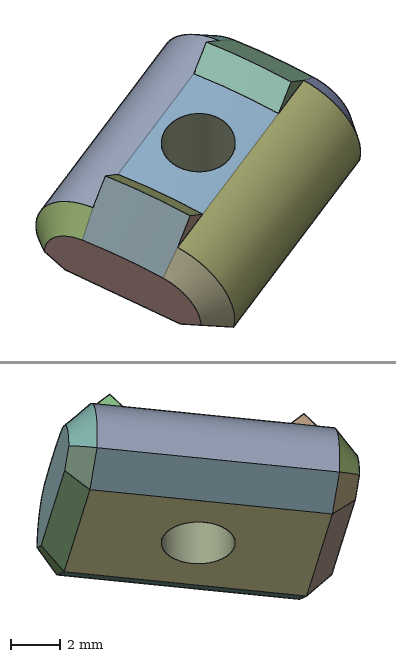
import cadquery as cq
import math

length = 12.0
height = 5.59
end_chamfer = 1.0
ridge_height = 1.0
crown_radius = 20.0
side_radius = 3.0
crown_half_width = 2.0
bottom_half_width = 3.0
bottom_slope = math.radians(30)
hole_diameter = 3.0

crown_top = height - ridge_height
crown_axis_z = crown_top - crown_radius
crown_angle = math.asin(crown_half_width / crown_radius)
crown_edge_z = crown_axis_z + crown_radius * math.cos(crown_angle)
center_distance = crown_radius - side_radius
side_center_x = center_distance * math.sin(crown_angle)
side_center_z = crown_axis_z + center_distance * math.cos(crown_angle)

offset_x = side_center_x - bottom_half_width
across = side_center_z * math.cos(bottom_slope) - offset_x * math.sin(bottom_slope)
along = offset_x * math.cos(bottom_slope) + side_center_z * math.sin(bottom_slope)
slope_length = along + math.sqrt(side_radius**2 - across**2)
corner_x = bottom_half_width + slope_length * math.cos(bottom_slope)
corner_z = slope_length * math.sin(bottom_slope)
side_max_x = side_center_x + side_radius


def make_body():
    """Crowned bar along Y with both ends chamfered all round."""
    profile = (
        cq.Workplane("XZ", origin=(0, length / 2, 0))
        .moveTo(-bottom_half_width, 0)
        .lineTo(bottom_half_width, 0)
        .lineTo(corner_x, corner_z)
        .threePointArc((side_max_x, side_center_z), (crown_half_width, crown_edge_z))
        .threePointArc((0, crown_top), (-crown_half_width, crown_edge_z))
        .threePointArc((-side_max_x, side_center_z), (-corner_x, corner_z))
        .close()
    )
    return profile.extrude(length).faces("<Y or >Y").chamfer(end_chamfer)


def make_ridge(side):
    """Triangular ridge and the chamfer below it as one cone; side is +1 or -1 along Y."""
    end_y = length / 2
    crest_y = end_y - end_chamfer - ridge_height
    inner_y = crest_y - ridge_height
    foot_z = crown_top - end_chamfer
    ring = (
        cq.Workplane("YZ")
        .polyline([
            (side * inner_y, foot_z),
            (side * inner_y, crown_top),
            (side * crest_y, height),
            (side * end_y, foot_z),
        ])
        .close()
        .revolve(360, (0, crown_axis_z, 0), (1, crown_axis_z, 0))
    )
    band = (
        cq.Workplane("XZ")
        .polyline([
            (0, crown_axis_z),
            (crown_half_width, crown_edge_z),
            (crown_half_width, height),
            (-crown_half_width, height),
            (-crown_half_width, crown_edge_z),
        ])
        .close()
        .extrude(length / 2, both=True)
    )
    return ring.intersect(band)


hole = cq.Workplane("XY").circle(hole_diameter / 2).extrude(height)

result = make_body()
for side in (-1, 1):
    ridge = make_ridge(side)
    result = result.cut(ridge).union(ridge)
result = result.cut(hole).clean()